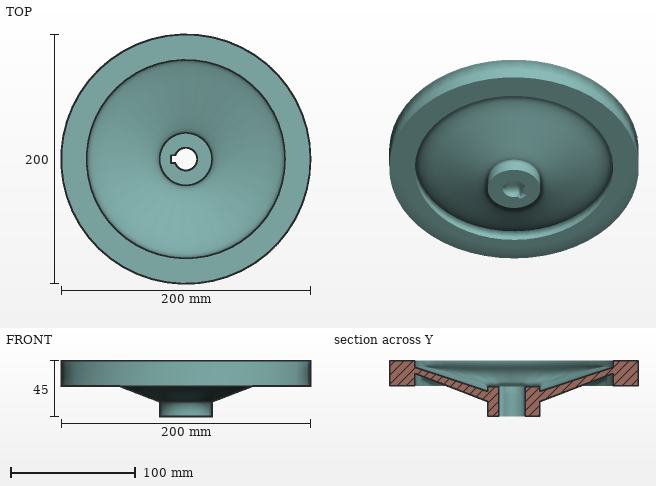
import cadquery as cq

rim_diameter = 200.0
rim_bore_diameter = 159.0
rim_height = 20.5
overall_height = 45.0

hub_diameter = 42.0
hub_height = 24.0
bore_diameter = 18.0
keyway_width = 6.0
keyway_reach = 11.8

web_lower_z_at_hub = 12.0
web_lower_z_at_rim = 34.5
web_drop_below_hub_top = 3.5
web_drop_below_rim_top = 5.2

rim_radius = rim_diameter / 2
rim_bore_radius = rim_bore_diameter / 2
hub_radius = hub_diameter / 2
rim_lower_z = overall_height - rim_height
web_upper_z_at_hub = hub_height - web_drop_below_hub_top
web_upper_z_at_rim = overall_height - web_drop_below_rim_top


def make_wheel_body():
    """Revolve the half section of hub, dished web and rim about Z."""
    half_section = [
        (0, 0),
        (hub_radius, 0),
        (hub_radius, web_lower_z_at_hub),
        (rim_bore_radius, web_lower_z_at_rim),
        (rim_bore_radius, rim_lower_z),
        (rim_radius, rim_lower_z),
        (rim_radius, overall_height),
        (rim_bore_radius, overall_height),
        (rim_bore_radius, web_upper_z_at_rim),
        (hub_radius, web_upper_z_at_hub),
        (hub_radius, hub_height),
        (0, hub_height),
    ]
    profile = cq.Workplane("XZ").polyline(half_section).close()
    return profile.revolve(360, (0, 0, 0), (0, 1, 0))


def make_keyed_bore():
    """Through bore of the hub with a keyway on the -X side."""
    bore = cq.Workplane("XY").circle(bore_diameter / 2).extrude(hub_height)
    keyway = (
        cq.Workplane("XY")
        .center(-keyway_reach / 2, 0)
        .rect(keyway_reach, keyway_width)
        .extrude(hub_height)
    )
    return bore.union(keyway)


result = make_wheel_body().cut(make_keyed_bore())